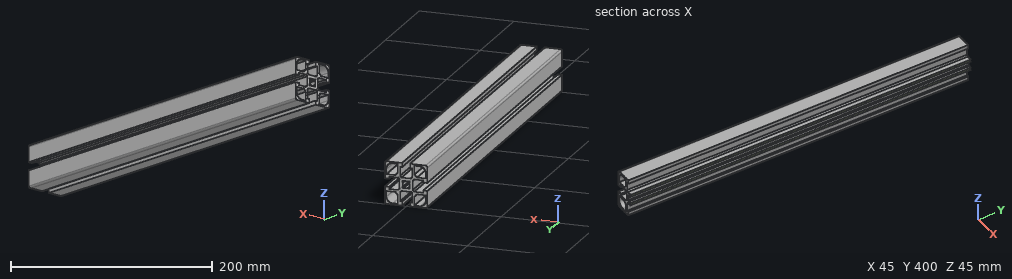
import cadquery as cq

length = 400.0
side = 45.0
corner_radius = 2.0

slot_width = 8.5
pocket_width = 13.0
lip_thickness = 4.5
core_side = 14.0
pocket_chamfer = 1.5

outer_wall = 1.5
inner_wall = 2.5
chamber_radius = 6.5
chamber_inner_chamfer = 3.0

bore_radius = 3.7
groove_radius = 1.0
groove_offset = 3.0

half_side = side / 2
quarter_turns = (0, 90, 180, 270)


def bar(width, height, x, z):
    """Full-length rectangular bar centred on (x, z) in the section."""
    return cq.Workplane("XY").box(width, length, height).translate((x, 0, z))


def rod(radius, x, z):
    """Full-length round bar centred on (x, z) in the section."""
    return cq.Workplane("XZ").center(x, z).circle(radius).extrude(length / 2, both=True)


def t_slot():
    """Slot opening and wider, chamfered pocket of the +Z side."""
    pocket_bottom = core_side / 2
    pocket_top = half_side - lip_thickness
    pocket_height = pocket_top - pocket_bottom
    opening_height = half_side - pocket_bottom
    pocket = bar(pocket_width, pocket_height, 0, (pocket_bottom + pocket_top) / 2)
    pocket = pocket.edges("|Y").edges("<Z").chamfer(pocket_chamfer)
    opening = bar(slot_width, opening_height, 0, (pocket_bottom + half_side) / 2)
    return pocket.union(opening)


def corner_chamber():
    """Hollow in the +X, +Z corner: rounded outward, chamfered inward."""
    near = pocket_width / 2 + inner_wall
    far = half_side - outer_wall
    size = far - near
    middle = (near + far) / 2
    chamber = bar(size, size, middle, middle)
    chamber = chamber.edges("|Y").edges(">X and >Z").fillet(chamber_radius)
    return chamber.edges("|Y").edges("<X and <Z").chamfer(chamber_inner_chamfer)


def around_axis(cutter, angle):
    """Copy of a cutter turned about the length axis."""
    return cutter.rotate((0, 0, 0), (0, 1, 0), angle)


result = bar(side, side, 0, 0).edges("|Y").fillet(corner_radius)
result = result.cut(rod(bore_radius, 0, 0))
cutters = (t_slot(), corner_chamber(), rod(groove_radius, groove_offset, groove_offset))
for angle in quarter_turns:
    for cutter in cutters:
        result = result.cut(around_axis(cutter, angle))